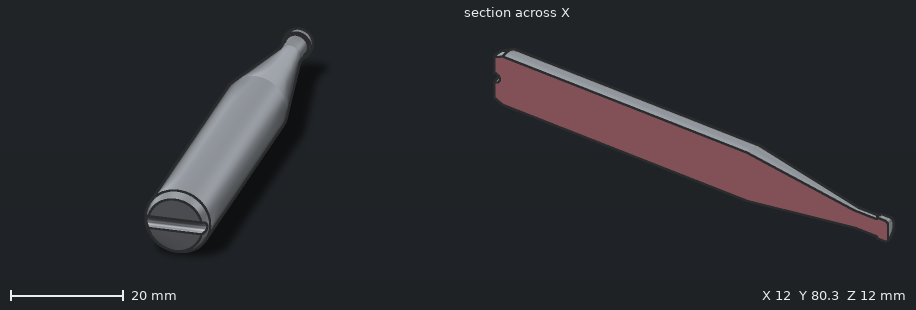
import cadquery as cq

length = 80.3
shank_diameter = 12.0
shank_radius = shank_diameter / 2
back_face = -length / 2
front_face = length / 2

chamfer_length = 1.8
chamfer_depth = 1.0
slot_width = 2.25
slot_depth = slot_width / 2

head_diameter = 5.2
head_radius = head_diameter / 2
head_length = 2.3
head_rounding = 0.8
neck_diameter = 4.3
neck_radius = neck_diameter / 2
neck_length = 4.6
taper_length = 21.9

head_back = front_face - head_length
neck_back = head_back - neck_length
taper_back = neck_back - taper_length


def turned_body():
    """Revolve the half outline around Y, then round the front rim of the head."""
    outline = (
        cq.Workplane("YZ")
        .moveTo(back_face, 0)
        .lineTo(back_face, shank_radius - chamfer_depth)
        .lineTo(back_face + chamfer_length, shank_radius)
        .lineTo(taper_back, shank_radius)
        .lineTo(neck_back, neck_radius)
        .lineTo(head_back, neck_radius)
        .lineTo(head_back, head_radius)
        .lineTo(front_face, head_radius)
        .lineTo(front_face, 0)
        .close()
    )
    body = outline.revolve(360, (0, 0, 0), (1, 0, 0))
    return body.faces(">Y").edges().fillet(head_rounding)


def screwdriver_slot():
    """Round-bottomed slot running along X across the back face."""
    return (
        cq.Workplane("YZ")
        .moveTo(back_face, -slot_width / 2)
        .threePointArc((back_face + slot_depth, 0), (back_face, slot_width / 2))
        .close()
        .extrude(shank_radius, both=True)
    )


result = turned_body().cut(screwdriver_slot())